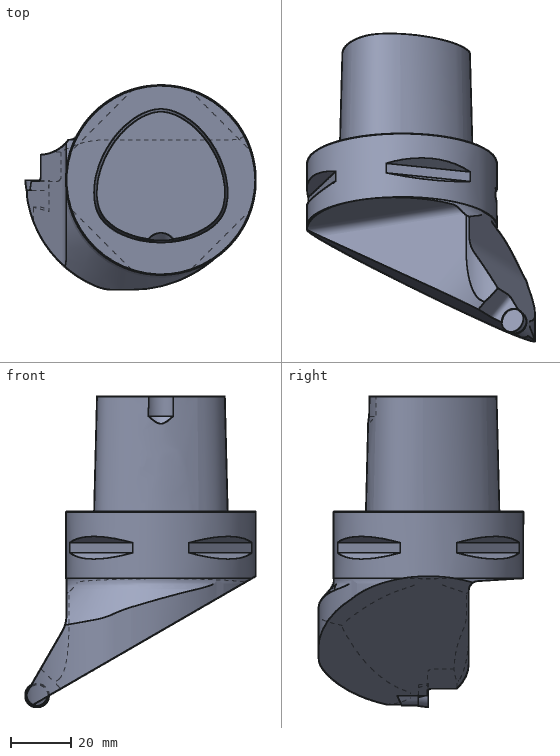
import cadquery as cq
import math


SHANK_LENGTH = 38.0
SHANK_WIDTH = 44.3
SHANK_TAPER = 1 / 20
LOBE_ECCENTRICITY = 1.4
FLAT_HALF_ANGLE = 24.0
POINTS_PER_LOBE_SIDE = 7

KEYWAY_RADIUS = 5.0
KEYWAY_AXIS_Y = -22.5
KEYWAY_WALL_DEPTH = 6.5

FLANGE_RADIUS = 31.5
FLANGE_BOTTOM_Z = -22.25
FLANGE_CHAMFER = 0.3

SLOT_COUNT = 4
SLOT_CENTER_Z = -12.1
SLOT_FLOOR_HEIGHT = 3.3
SLOT_FLOOR_LENGTH = 29.4
SLOT_FLANK_ANGLE = 30.0

NECK_RADIUS = 31.4
NECK_FILLET_TOP_Z = -22.95
NECK_FILLET_RADIUS = 4.2
CONE_ANGLE = 41.0
CONE_MAX_RADIUS = 60.0

FRONT_RADIUS = 38.0
FRONT_CENTER_X = -6.75
FRONT_CENTER_Y = -0.2
BLADE_MIN_Y = -36.41
CORNER_RADIUS = 15.0
BELLY_RADIUS = 42.0
BELLY_START_X = -9.9
BELLY_END_X = 18.4
NECK_JOIN_X = 20.8
NECK_LEAVE_ANGLE = 150.0

REACH = 45.0
TIP_Z = -65.0
TIP_RADIUS = 4.0
SEAT_RADIUS = 3.4
FACE_X = -31.3
FACE_TOP_Z = -22.4
FACE_ANGLE = 60.0
FACE_FILLET_RADIUS = 11.0
BASE_ANGLE = 30.0
BASE_RIM_Z = -21.5

RIB_END_Y = -8.8
RIB_END_ANGLE = 65.0

SIDE_Y = 13.4
SIDE_FILLET_RADIUS = 3.0
SIDE_FILLET_TOP_Z = -23.2
SIDE_RIM_Z = -22.25
SCOOP_RADIUS = 12.0
SCOOP_CENTER_X = -40.3
SCOOP_CENTER_Y = 20.4
SCOOP_TOP_Z = -25.7
RELIEF_RADIUS = 34.0
RELIEF_START = -49.0

NOTCH_FACE_X = -39.8
NOTCH_FLOOR_Y = -0.4
NOTCH_FILLET_RADIUS = 1.7

INSERT_THICKNESS = 3.35
INSERT_RELIEF_ANGLE = 7.0

CLEARANCE = 80.0

tip_x = -REACH + TIP_RADIUS
tip_z = TIP_Z + TIP_RADIUS


def polar(radius, degrees, center=(0.0, 0.0)):
    """Point at a radius and an angle from a center."""
    angle = math.radians(degrees)
    return center[0] + radius * math.cos(angle), center[1] + radius * math.sin(angle)


def shank_point(width, normal_angle, z):
    """Point of the three-lobed curve of constant width where its normal has the given angle."""
    turn = math.radians(normal_angle)
    support = width / 2 - LOBE_ECCENTRICITY * math.sin(3 * turn)
    slope = -3 * LOBE_ECCENTRICITY * math.cos(3 * turn)
    x = support * math.cos(turn) - slope * math.sin(turn)
    y = support * math.sin(turn) + slope * math.cos(turn)
    return cq.Vector(x, y, z)


def shank_side(width, start, end, z):
    """One flat or one lobe of the shank curve."""
    step = (end - start) / (POINTS_PER_LOBE_SIDE - 1)
    points = [shank_point(width, start + i * step, z) for i in range(POINTS_PER_LOBE_SIDE)]
    tangents = [cq.Vector(*polar(1.0, angle + 90), 0) for angle in (start, end)]
    return cq.Edge.makeSpline(points, tangents=tangents)


def shank_wire(width, z):
    sides = []
    for flat_angle in (-90, 30, 150):
        flat_end = flat_angle + FLAT_HALF_ANGLE
        sides.append(shank_side(width, flat_angle - FLAT_HALF_ANGLE, flat_end, z))
        sides.append(shank_side(width, flat_end, flat_angle + 120 - FLAT_HALF_ANGLE, z))
    return cq.Wire.assembleEdges(sides)


def make_shank():
    top_width = SHANK_WIDTH - SHANK_LENGTH * SHANK_TAPER
    bottom = shank_wire(SHANK_WIDTH, 0)
    top = shank_wire(top_width, SHANK_LENGTH)
    shank = cq.Workplane(obj=cq.Solid.makeLoft([bottom, top], True))
    wall_bottom = SHANK_LENGTH - KEYWAY_WALL_DEPTH
    keyway = (
        cq.Workplane("XZ")
        .moveTo(0, SHANK_LENGTH)
        .lineTo(KEYWAY_RADIUS, SHANK_LENGTH)
        .lineTo(KEYWAY_RADIUS, wall_bottom)
        .lineTo(0, wall_bottom - KEYWAY_RADIUS)
        .close()
        .revolve(360, (0, 0), (0, 1))
        .translate((0, KEYWAY_AXIS_Y, 0))
    )
    return shank.cut(keyway)


def make_flange():
    flange = (
        cq.Workplane("XY")
        .circle(FLANGE_RADIUS)
        .extrude(FLANGE_BOTTOM_Z)
        .faces(">Z")
        .chamfer(FLANGE_CHAMFER)
    )
    floor_distance = math.sqrt(FLANGE_RADIUS**2 - (SLOT_FLOOR_LENGTH / 2) ** 2)
    depth = FLANGE_RADIUS - floor_distance
    floor_half = SLOT_FLOOR_HEIGHT / 2
    mouth_half = floor_half + depth * math.tan(math.radians(SLOT_FLANK_ANGLE))
    slot = (
        cq.Workplane("XZ")
        .moveTo(floor_distance, SLOT_CENTER_Z - floor_half)
        .lineTo(FLANGE_RADIUS, SLOT_CENTER_Z - mouth_half)
        .lineTo(FLANGE_RADIUS, SLOT_CENTER_Z + mouth_half)
        .lineTo(floor_distance, SLOT_CENTER_Z + floor_half)
        .close()
        .extrude(FLANGE_RADIUS, both=True)
    )
    for i in range(SLOT_COUNT):
        angle = 360 / SLOT_COUNT * (i + 0.5)
        flange = flange.cut(slot.rotate((0, 0, 0), (0, 0, 1), angle))
    return flange


def make_neck():
    """Solid of revolution that limits the blade from above: neck, hollow fillet and cone."""
    fillet_center = (NECK_RADIUS + NECK_FILLET_RADIUS, NECK_FILLET_TOP_Z)
    fillet_middle = polar(NECK_FILLET_RADIUS, 180 + CONE_ANGLE / 2, fillet_center)
    fillet_end = polar(NECK_FILLET_RADIUS, 180 + CONE_ANGLE, fillet_center)
    cone_drop = (CONE_MAX_RADIUS - fillet_end[0]) / math.tan(math.radians(CONE_ANGLE))
    return (
        cq.Workplane("XZ")
        .moveTo(0, FLANGE_BOTTOM_Z)
        .lineTo(NECK_RADIUS, FLANGE_BOTTOM_Z)
        .lineTo(NECK_RADIUS, NECK_FILLET_TOP_Z)
        .threePointArc(fillet_middle, fillet_end)
        .lineTo(CONE_MAX_RADIUS, fillet_end[1] - cone_drop)
        .lineTo(CONE_MAX_RADIUS, -CLEARANCE)
        .lineTo(0, -CLEARANCE)
        .close()
        .revolve(360, (0, 0), (0, 1))
    )


def make_plan():
    """Upright prism with the blade's outline seen along Z."""
    front_center = (FRONT_CENTER_X, FRONT_CENTER_Y)
    front_left = (FRONT_CENTER_X - FRONT_RADIUS, FRONT_CENTER_Y)

    corner_y = BLADE_MIN_Y + CORNER_RADIUS
    center_gap = FRONT_RADIUS - CORNER_RADIUS
    corner_angle = 180 + math.degrees(math.asin((FRONT_CENTER_Y - corner_y) / center_gap))
    corner_center = polar(center_gap, corner_angle, front_center)
    front_middle = polar(FRONT_RADIUS, (180 + corner_angle) / 2, front_center)
    corner_start = polar(FRONT_RADIUS, corner_angle, front_center)
    corner_middle = polar(CORNER_RADIUS, (corner_angle + 270) / 2, corner_center)

    belly_center = (BELLY_START_X, BLADE_MIN_Y + BELLY_RADIUS)
    belly_sweep = math.degrees(math.asin((BELLY_END_X - BELLY_START_X) / BELLY_RADIUS))
    neck_join = (NECK_JOIN_X, -math.sqrt(FLANGE_RADIUS**2 - NECK_JOIN_X**2))
    neck_leave = polar(FLANGE_RADIUS, NECK_LEAVE_ANGLE)
    return (
        cq.Workplane("XY")
        .moveTo(*front_left)
        .threePointArc(front_middle, corner_start)
        .threePointArc(corner_middle, (corner_center[0], BLADE_MIN_Y))
        .lineTo(BELLY_START_X, BLADE_MIN_Y)
        .threePointArc(
            polar(BELLY_RADIUS, 270 + belly_sweep / 2, belly_center),
            polar(BELLY_RADIUS, 270 + belly_sweep, belly_center),
        )
        .lineTo(*neck_join)
        .threePointArc((FLANGE_RADIUS, 0), neck_leave)
        .lineTo(front_left[0], neck_leave[1])
        .close()
        .extrude(-CLEARANCE)
    )


def make_side_profile():
    """Prism along Y with the outline of the blade's face, round tip and sloping base."""
    tip = (tip_x, tip_z)
    face_slope = math.tan(math.radians(FACE_ANGLE))
    base_slope = math.tan(math.radians(BASE_ANGLE))

    tip_start = polar(SEAT_RADIUS, FACE_ANGLE + 90, tip)
    tip_bottom = polar(SEAT_RADIUS, FACE_ANGLE + 180, tip)
    tip_end = polar(SEAT_RADIUS, FACE_ANGLE - 90, tip)
    bend_z = tip_start[1] + (FACE_X - tip_start[0]) * face_slope
    bend_angle = 90 - FACE_ANGLE
    tangent_length = FACE_FILLET_RADIUS * math.tan(math.radians(bend_angle / 2))
    fillet_center = (FACE_X - FACE_FILLET_RADIUS, bend_z + tangent_length)
    fillet_middle = polar(FACE_FILLET_RADIUS, -bend_angle / 2, fillet_center)
    fillet_end = polar(FACE_FILLET_RADIUS, -bend_angle, fillet_center)

    base_z_at_tip_end = BASE_RIM_Z + (tip_end[0] - FLANGE_RADIUS) * base_slope
    run = (base_z_at_tip_end - tip_end[1]) / (face_slope - base_slope)
    base_start = (tip_end[0] + run, tip_end[1] + run * face_slope)
    base_end = (CLEARANCE, BASE_RIM_Z + (CLEARANCE - FLANGE_RADIUS) * base_slope)
    return (
        cq.Workplane("XZ")
        .moveTo(FACE_X, FACE_TOP_Z)
        .lineTo(FACE_X, fillet_center[1])
        .threePointArc(fillet_middle, fillet_end)
        .lineTo(*tip_start)
        .threePointArc(tip_bottom, tip_end)
        .lineTo(*base_start)
        .lineTo(*base_end)
        .lineTo(CLEARANCE, CLEARANCE)
        .lineTo(-CLEARANCE, CLEARANCE)
        .lineTo(-CLEARANCE, FACE_TOP_Z)
        .close()
        .extrude(CLEARANCE, both=True)
    )


def make_rib_runout():
    """Space below the sloping base and beyond the end of the rib."""
    base_rise = 2 * CLEARANCE * math.tan(math.radians(BASE_ANGLE))
    below_base = (
        cq.Workplane("XZ")
        .moveTo(FLANGE_RADIUS, BASE_RIM_Z)
        .lineTo(FLANGE_RADIUS - 2 * CLEARANCE, BASE_RIM_Z - base_rise)
        .lineTo(FLANGE_RADIUS, BASE_RIM_Z - base_rise)
        .close()
        .extrude(CLEARANCE)
    )
    rib_bottom_z = tip_z - SEAT_RADIUS
    end_rise = CLEARANCE * math.tan(math.radians(RIB_END_ANGLE))
    beyond_rib = (
        cq.Workplane("YZ")
        .moveTo(RIB_END_Y, rib_bottom_z)
        .lineTo(RIB_END_Y - CLEARANCE, rib_bottom_z + end_rise)
        .lineTo(RIB_END_Y - CLEARANCE, rib_bottom_z - CLEARANCE)
        .lineTo(RIB_END_Y, rib_bottom_z - CLEARANCE)
        .close()
        .extrude(CLEARANCE, both=True)
    )
    return below_base.intersect(beyond_rib)


def make_side_clearance():
    """Space beside the flat +Y side, with a fillet up to the underside of the flange."""
    fillet_center = (SIDE_Y + SIDE_FILLET_RADIUS, SIDE_FILLET_TOP_Z - SIDE_FILLET_RADIUS)
    return (
        cq.Workplane("YZ")
        .moveTo(SIDE_Y, -CLEARANCE)
        .lineTo(SIDE_Y, fillet_center[1])
        .threePointArc(
            polar(SIDE_FILLET_RADIUS, 135, fillet_center),
            polar(SIDE_FILLET_RADIUS, 90, fillet_center),
        )
        .lineTo(FLANGE_RADIUS, SIDE_RIM_Z)
        .lineTo(CLEARANCE, SIDE_RIM_Z)
        .lineTo(CLEARANCE, -CLEARANCE)
        .close()
        .extrude(CLEARANCE, both=True)
    )


def make_scoop():
    """Upright round hollow at the +Y side of the blade's face."""
    return (
        cq.Workplane("XY", origin=(0, 0, SCOOP_TOP_Z))
        .center(SCOOP_CENTER_X, SCOOP_CENTER_Y)
        .circle(SCOOP_RADIUS)
        .extrude(-CLEARANCE)
    )


WEDGE_PLANE = cq.Plane(origin=(0, 0, 0), xDir=(1, 0, 1), normal=(-1, 0, 1))


def make_relief():
    """Space outside the rounded relief that narrows the +Y side towards the tip."""
    relief_center = (RELIEF_START, SIDE_Y - RELIEF_RADIUS)
    return (
        cq.Workplane(WEDGE_PLANE)
        .moveTo(RELIEF_START, SIDE_Y)
        .threePointArc(
            polar(RELIEF_RADIUS, 135, relief_center),
            polar(RELIEF_RADIUS, 180, relief_center),
        )
        .lineTo(-2 * CLEARANCE, relief_center[1])
        .lineTo(-2 * CLEARANCE, CLEARANCE)
        .lineTo(RELIEF_START, CLEARANCE)
        .close()
        .extrude(CLEARANCE, both=True)
    )


def make_notch():
    """Space above the insert, cut square across the wedge, with a fillet at the foot of its wall."""
    face_run = (NOTCH_FACE_X - tip_x) + SEAT_RADIUS * math.sin(math.radians(FACE_ANGLE))
    face_z = (
        tip_z
        + SEAT_RADIUS * math.cos(math.radians(FACE_ANGLE))
        + face_run * math.tan(math.radians(FACE_ANGLE))
    )
    wall = (NOTCH_FACE_X + face_z) / math.sqrt(2)
    fillet_center = (wall - NOTCH_FILLET_RADIUS, NOTCH_FLOOR_Y + NOTCH_FILLET_RADIUS)
    return (
        cq.Workplane(WEDGE_PLANE)
        .moveTo(-2 * CLEARANCE, NOTCH_FLOOR_Y)
        .lineTo(fillet_center[0], NOTCH_FLOOR_Y)
        .threePointArc(
            polar(NOTCH_FILLET_RADIUS, -45, fillet_center),
            polar(NOTCH_FILLET_RADIUS, 0, fillet_center),
        )
        .lineTo(wall, CLEARANCE)
        .lineTo(-2 * CLEARANCE, CLEARANCE)
        .close()
        .extrude(CLEARANCE, both=True)
    )


def make_insert():
    """Round insert with its flat top at y = 0 and a relieved rim."""
    return (
        cq.Workplane("XZ")
        .center(tip_x, tip_z)
        .circle(TIP_RADIUS)
        .extrude(INSERT_THICKNESS, taper=INSERT_RELIEF_ANGLE)
    )


def make_holder(insert):
    blade = make_neck().intersect(make_plan())
    for space in (make_side_clearance(), make_scoop(), make_relief(), make_notch()):
        blade = blade.cut(space)
    holder = make_flange().union(blade).intersect(make_side_profile()).cut(make_rib_runout())
    return holder.union(make_shank()).cut(insert)


insert = make_insert()
holder = make_holder(insert)

result = cq.Compound.makeCompound([holder.val(), insert.val()])